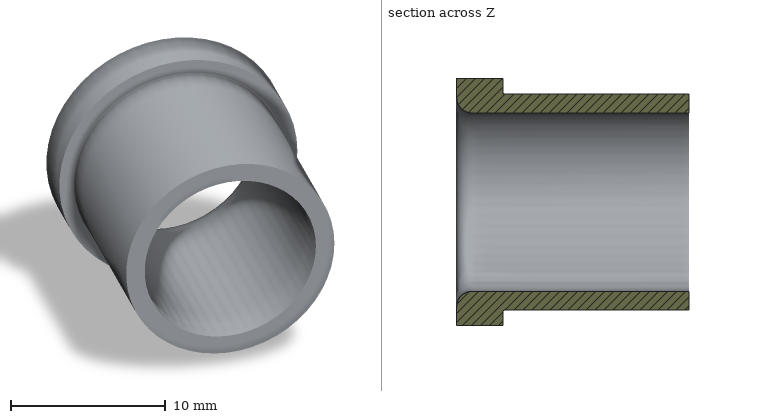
import cadquery as cq

length = 15.0
flange_diameter = 16.0
flange_thickness = 3.0
body_diameter = 14.0
bore_diameter = 11.5
entry_radius = 1.0
corner_radius = 0.1

body_radius = body_diameter / 2
flange_radius = flange_diameter / 2
bore_radius = bore_diameter / 2

half_section = (
    cq.Workplane("XY")
    .moveTo(0, bore_radius + entry_radius)
    .lineTo(0, flange_radius)
    .lineTo(flange_thickness, flange_radius)
    .lineTo(flange_thickness, body_radius + corner_radius)
    .radiusArc((flange_thickness + corner_radius, body_radius), -corner_radius)
    .lineTo(length, body_radius)
    .lineTo(length, bore_radius)
    .lineTo(entry_radius, bore_radius)
    .radiusArc((0, bore_radius + entry_radius), entry_radius)
    .close()
)

result = half_section.revolve(360, (0, 0, 0), (1, 0, 0))